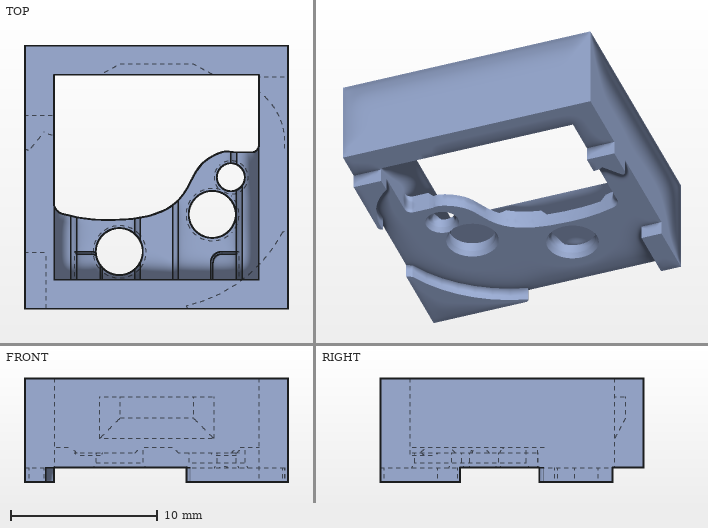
import cadquery as cq

side = 18.0
total_height = 7.1
wall = 2.0
foot_height = 1.0
half = side / 2
inner_half = half - wall

floor_top = 2.4
floor_thickness = floor_top - foot_height

groove_depth = 0.4
groove_flank = 0.39
groove_center = 3.48
groove_top_width = 4.74
groove_step_y = 0.0
groove_step = 0.38

recess_depth = 0.16
recess_inner_x = 3.70
recess_top_y = -5.09
recess_corner_radius = 0.75

large_hole_diameter = 3.2
large_hole_centers = [(-2.54, -5.08), (3.81, -2.54)]
small_hole_diameter = 1.9
small_hole_center = (5.08, 0.0)
hole_chamfer_width = 0.2
hole_chamfer_height = 0.33

wave_start = (-inner_half, -1.9)
wave_corner_end = (-6.4, -2.5)
wave_corner_mid = (-6.82, -2.25)
wave_valley = (-2.9, -2.92)
wave_rise = [(1.48, -1.58), (2.2, -0.56), (3.16, 0.97)]
wave_crest = (4.9, 1.77)
ledge_start_x = 5.4
ledge_end_x = 6.6
ledge_y = 1.71
ledge_corner_mid = (6.85, 1.85)
ledge_corner_end = (inner_half, 2.25)

pocket_half_width = 3.9
pocket_bottom = 3.0
pocket_top = 5.84
pocket_depth = 0.75
pocket_side_taper = 1.4
pocket_floor_rise = 1.4

corner_foot_x = -7.55
corner_foot_y = -5.12
side_finger_root_y = 2.13
side_finger_radius = 0.28
front_finger_root_x = 2.27
front_finger_radius = 0.23
left_foot_rear_y = 4.24
left_foot_valley = (-7.7, 3.1)
left_foot_bulge_mid = (-7.3, 2.93)
left_foot_bulge_end = (-inner_half, 2.9)
rear_foot_rear_y = 6.88
rear_foot_corner_y = 5.85
rear_foot_arc_mid = (7.9, 4.95)
front_foot_arc_mid = (6.5, -6.45)
front_foot_arc_end = (8.6, -3.74)
front_foot_rear_y = -3.55


def make_frame():
    """Square ring that carries the floor and the feet."""
    ring = cq.Workplane("XY").workplane(offset=foot_height).rect(side, side)
    return ring.rect(2 * inner_half, 2 * inner_half).extrude(total_height - foot_height)


def make_floor_blank():
    """Floor plate between the front wall and the wavy rear edge."""
    return (
        cq.Workplane("XY")
        .workplane(offset=foot_height)
        .moveTo(inner_half, -inner_half)
        .lineTo(-inner_half, -inner_half)
        .lineTo(*wave_start)
        .threePointArc(wave_corner_mid, wave_corner_end)
        .spline(
            [wave_valley, *wave_rise, wave_crest, (ledge_start_x, ledge_y)],
            tangents=[(1, -0.3), (1, 0)],
            includeCurrent=True,
        )
        .lineTo(ledge_end_x, ledge_y)
        .threePointArc(ledge_corner_mid, ledge_corner_end)
        .close()
        .extrude(floor_thickness)
    )


def groove_cutter(left, right, front, rear):
    """Trapezoidal bar along Y, from left to right at the floor surface."""
    groove_floor = floor_top - groove_depth
    profile = [
        (left, floor_top),
        (left + groove_flank, groove_floor),
        (right - groove_flank, groove_floor),
        (right, floor_top),
    ]
    bar = cq.Workplane("XZ", origin=(0, front, 0)).polyline(profile).close()
    return bar.extrude(front - rear)


def recess_cutter(sign):
    """Recess in the groove floor, on the +X side for sign 1 and on the -X side for sign -1."""
    outer_x = groove_center + groove_top_width / 2 - groove_flank + recess_depth
    box_length = inner_half + recess_top_y + recess_depth
    return (
        cq.Workplane("XY")
        .workplane(offset=floor_top - groove_depth)
        .moveTo(sign * recess_inner_x, recess_top_y - box_length)
        .lineTo(sign * recess_inner_x, recess_top_y - recess_corner_radius)
        .radiusArc(
            (sign * (recess_inner_x + recess_corner_radius), recess_top_y),
            sign * recess_corner_radius,
        )
        .lineTo(sign * outer_x, recess_top_y)
        .lineTo(sign * outer_x, recess_top_y - box_length)
        .close()
        .extrude(-recess_depth, taper=45)
    )


def hole_cutter(center, diameter):
    """Drill through the floor with a chamfer at its underside."""
    radius = diameter / 2
    drill = (
        cq.Workplane("XY")
        .workplane(offset=foot_height)
        .center(*center)
        .circle(radius)
        .extrude(floor_thickness)
    )
    flare = cq.Solid.makeCone(
        radius + hole_chamfer_width,
        radius,
        hole_chamfer_height,
        pnt=cq.Vector(*center, foot_height),
    )
    return drill.union(cq.Workplane(flare))


def make_floor():
    """Floor plate with its grooves, recesses and holes."""
    floor = make_floor_blank()
    inner = groove_center - groove_top_width / 2
    outer = groove_center + groove_top_width / 2
    floor = floor.cut(groove_cutter(-outer, -inner, -inner_half, inner_half))
    floor = floor.cut(groove_cutter(inner, outer, -inner_half, groove_step_y))
    floor = floor.cut(groove_cutter(inner, outer - groove_step, groove_step_y, inner_half))
    for sign in (-1, 1):
        floor = floor.cut(recess_cutter(sign))
    for center in large_hole_centers:
        floor = floor.cut(hole_cutter(center, large_hole_diameter))
    return floor.cut(hole_cutter(small_hole_center, small_hole_diameter))


def pocket_cutter():
    """Pocket whose sides and floor close in towards its back; its ceiling is level."""
    back_half_width = pocket_half_width - pocket_side_taper
    sections = []
    for y, half_width, bottom in (
        (inner_half, pocket_half_width, pocket_bottom),
        (inner_half + pocket_depth, back_half_width, pocket_bottom + pocket_floor_rise),
    ):
        corners = [
            (-half_width, y, bottom),
            (half_width, y, bottom),
            (half_width, y, pocket_top),
            (-half_width, y, pocket_top),
        ]
        sections.append(cq.Wire.makePolygon([cq.Vector(*c) for c in corners], close=True))
    return cq.Workplane(cq.Solid.makeLoft(sections, True))


def make_corner_foot():
    """Plain foot at the -X, -Y corner."""
    sketch = cq.Workplane("XY").moveTo(-half, -half).lineTo(corner_foot_x, -half)
    sketch = sketch.lineTo(corner_foot_x, corner_foot_y).lineTo(-half, corner_foot_y)
    return sketch.close().extrude(foot_height)


def make_left_foot():
    """Foot at the -X side with a rounded finger pointing to -Y."""
    return (
        cq.Workplane("XY")
        .moveTo(-half, left_foot_rear_y)
        .lineTo(-half, side_finger_root_y)
        .radiusArc(
            (-half + side_finger_radius, side_finger_root_y - side_finger_radius),
            -side_finger_radius,
        )
        .lineTo(*left_foot_valley)
        .threePointArc(left_foot_bulge_mid, left_foot_bulge_end)
        .lineTo(-inner_half, left_foot_rear_y)
        .close()
        .extrude(foot_height)
    )


def make_rear_foot():
    """Foot at the +X side, hollowed towards the centre and ending in a finger."""
    side_finger_end = (half - side_finger_radius, side_finger_root_y - side_finger_radius)
    return (
        cq.Workplane("XY")
        .moveTo(half, rear_foot_rear_y)
        .lineTo(inner_half, rear_foot_rear_y)
        .lineTo(inner_half, rear_foot_corner_y)
        .threePointArc(rear_foot_arc_mid, side_finger_end)
        .radiusArc((half, side_finger_root_y), -side_finger_radius)
        .close()
        .extrude(foot_height)
    )


def make_front_foot():
    """Foot at the +X, -Y corner with a rounded finger pointing to -X."""
    return (
        cq.Workplane("XY")
        .moveTo(half, -half)
        .lineTo(front_finger_root_x, -half)
        .radiusArc(
            (front_finger_root_x - front_finger_radius, -half + front_finger_radius),
            front_finger_radius,
        )
        .threePointArc(front_foot_arc_mid, front_foot_arc_end)
        .lineTo(half, front_foot_rear_y)
        .close()
        .extrude(foot_height)
    )


result = make_frame().cut(pocket_cutter()).union(make_floor())
for foot in (make_corner_foot(), make_left_foot(), make_rear_foot(), make_front_foot()):
    result = result.union(foot)